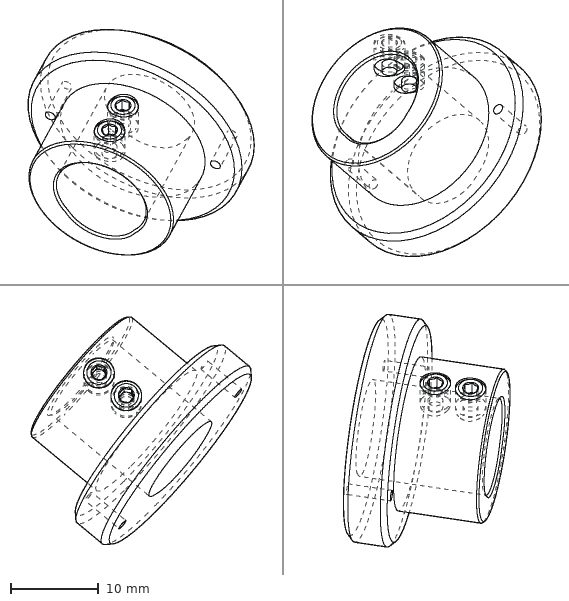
import cadquery as cq
import math

flange_diameter = 26.3
flange_thickness = 5.1
flange_chamfer = 0.65
total_length = 14.99
sleeve_diameter = 17.77
sleeve_chamfer = 0.24
sleeve_length = total_length - flange_thickness

bore_radius = 5.52
bulge_radius = 4.73
bulge_drop = 1.3
bore_chamfer = 0.25
bore_chamfer_angle = 45.0

pin_hole_diameter = 1.2
pin_hole_offset = 10.15

screw_diameter = 3.5
screw_spacing = 4.1
first_screw_y = 2.79
screw_positions = [first_screw_y, first_screw_y + screw_spacing]
screw_top = sleeve_diameter / 2
screw_length = 3.95
screw_chamfer = 0.37
tip_diameter = 1.7
tip_length = 1.05
screw_bottom = screw_top - screw_length
shoulder_z = screw_bottom + tip_length

socket_sides = 6
socket_across_flats = 1.52
socket_depth = 1.58
socket_mouth_diameter = 1.81
drill_point_angle = 120.0


def cylinder_along_y(diameter, start, length):
    """Cylinder on the hub axis, from Y = start towards +Y."""
    plane = cq.Workplane("XZ", origin=(0, start, 0))
    return plane.circle(diameter / 2).extrude(-length)


def bore_outline(growth):
    """Sketch of the two bore arcs, both radii enlarged by growth."""
    main = bore_radius + growth
    bulge = bulge_radius + growth
    meet_z = (bulge**2 - main**2 - bulge_drop**2) / (2 * bulge_drop)
    meet_x = math.sqrt(main**2 - meet_z**2)
    return (
        cq.Workplane("XZ")
        .moveTo(-meet_x, meet_z)
        .threePointArc((0, main), (meet_x, meet_z))
        .threePointArc((0, -bulge_drop - bulge), (-meet_x, meet_z))
        .close()
    )


def make_bore():
    """Through bore with a chamfered mouth at the sleeve end."""
    straight = bore_outline(0).extrude(-total_length)
    mouth = bore_outline(bore_chamfer).extrude(-bore_chamfer, taper=bore_chamfer_angle)
    return straight.union(mouth)


def make_hub():
    flange = cylinder_along_y(flange_diameter, sleeve_length, flange_thickness)
    flange = flange.edges("%CIRCLE").chamfer(flange_chamfer)
    sleeve = cylinder_along_y(sleeve_diameter, 0, total_length)
    sleeve = sleeve.faces("<Y").edges().chamfer(sleeve_chamfer)
    hub = flange.union(sleeve).cut(make_bore())

    pin_holes = (
        cq.Workplane("XZ", origin=(0, sleeve_length, 0))
        .pushPoints([(-pin_hole_offset, 0), (pin_hole_offset, 0)])
        .circle(pin_hole_diameter / 2)
        .extrude(-flange_thickness)
    )
    hub = hub.cut(pin_holes)

    screw_holes = (
        cq.Workplane("XY")
        .pushPoints([(0, y) for y in screw_positions])
        .circle(screw_diameter / 2)
        .extrude(sleeve_diameter)
    )
    return hub.cut(screw_holes)


def make_socket(y):
    """Hexagon socket with flats facing Y, a conical mouth and a drill point."""
    corner_diameter = socket_across_flats / math.cos(math.pi / socket_sides)
    hexagon = (
        cq.Workplane("XY", origin=(0, y, screw_top))
        .polygon(socket_sides, corner_diameter)
        .extrude(-socket_depth)
    )
    downward = cq.Vector(0, 0, -1)
    mouth_radius = socket_mouth_diameter / 2
    mouth = cq.Solid.makeCone(mouth_radius, 0, mouth_radius, cq.Vector(0, y, screw_top), downward)
    point_radius = socket_across_flats / 2
    point_depth = point_radius / math.tan(math.radians(drill_point_angle / 2))
    socket_floor = cq.Vector(0, y, screw_top - socket_depth)
    point = cq.Solid.makeCone(point_radius, 0, point_depth, socket_floor, downward)
    return hexagon.union(cq.Workplane(mouth)).union(cq.Workplane(point))


def make_set_screw(y):
    """Set screw with a chamfered top, a hexagon socket and a dog point."""
    body = (
        cq.Workplane("XY", origin=(0, y, shoulder_z))
        .circle(screw_diameter / 2)
        .extrude(screw_top - shoulder_z)
        .faces(">Z")
        .chamfer(screw_chamfer)
    )
    tip = cq.Workplane("XY", origin=(0, y, screw_bottom)).circle(tip_diameter / 2).extrude(tip_length)
    return body.union(tip).cut(make_socket(y))


hub = make_hub()
set_screws = [make_set_screw(y).val() for y in screw_positions]

result = cq.Compound.makeCompound([hub.val(), *set_screws])